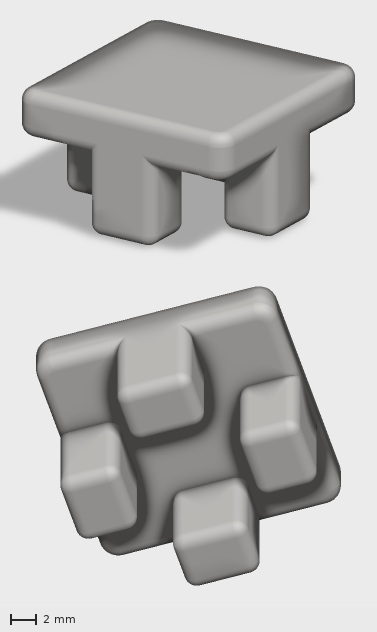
import cadquery as cq

plate_side = 20.0
plate_thickness = 4.0
corner_radius = 1.5

leg_count = 4
leg_width = 6.2
leg_depth = 5.0
overall_height = 11.0
leg_length = overall_height - plate_thickness

edge_radius = 1.0

half_side = plate_side / 2

height_margin = 0.1


def make_plate():
    """Square plate with rounded vertical corners, resting on top of the legs."""
    return (
        cq.Workplane("XY", origin=(0, 0, leg_length))
        .rect(plate_side, plate_side)
        .extrude(plate_thickness)
        .edges("|Z")
        .fillet(corner_radius)
    )


def make_leg(angle):
    """Leg at the middle of the -Y side, turned about Z by the given angle."""
    leg = (
        cq.Workplane("XY")
        .center(0, leg_depth / 2 - half_side)
        .rect(leg_width, leg_depth)
        .extrude(leg_length)
    )
    return leg.rotate((0, 0, 0), (0, 0, 1), angle)


def centered_box(half_width, bottom, top):
    """Selector for edges whose center lies in a square box around the Z axis."""
    return cq.selectors.BoxSelector(
        (-half_width, -half_width, bottom),
        (half_width, half_width, top),
    )


def round_outer_edges(body):
    """Round the plate's rims and the legs' free edges; the leg roots stay sharp."""
    root_bottom = leg_length - height_margin
    root_top = leg_length + height_margin

    underside_edges = centered_box(plate_side, root_bottom, root_top)
    leg_roots = centered_box(half_side - corner_radius, root_bottom, root_top)

    top_rim = body.faces(">Z").edges()
    underside_rim = body.edges(underside_edges - leg_roots)
    leg_edges = body.edges(centered_box(plate_side, -height_margin, root_bottom))
    return top_rim.add(underside_rim).add(leg_edges).fillet(edge_radius)


body = make_plate()
for index in range(leg_count):
    body = body.union(make_leg(index * 360 / leg_count))

result = round_outer_edges(body).solids()